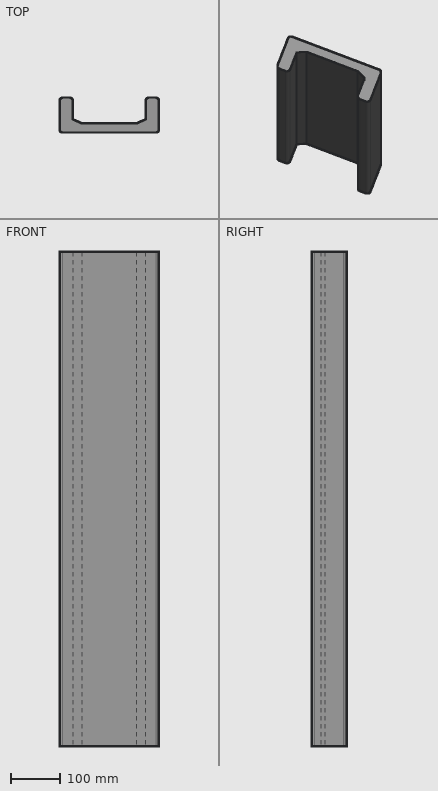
import cadquery as cq

length = 1000.0
width = 201.0
depth = 71.0

web_thickness = 19.0
flange_thickness = 27.0

outer_radius = 6.0
tip_radius = 7.0

root_run = 18.0
root_rise = 8.0

bar = cq.Workplane("XY").box(width, depth, length).edges("|Z and <Y").fillet(outer_radius)

half_groove = width / 2 - flange_thickness
half_floor = half_groove - root_run
floor_y = web_thickness - depth / 2
root_y = floor_y + root_rise
groove = (
    cq.Workplane("XY")
    .workplane(offset=-length / 2)
    .moveTo(-half_groove, depth / 2)
    .lineTo(-half_groove, root_y)
    .lineTo(-half_floor, floor_y)
    .lineTo(half_floor, floor_y)
    .lineTo(half_groove, root_y)
    .lineTo(half_groove, depth / 2)
    .close()
    .extrude(length)
)

result = bar.cut(groove).edges("|Z and >Y").fillet(tip_radius)